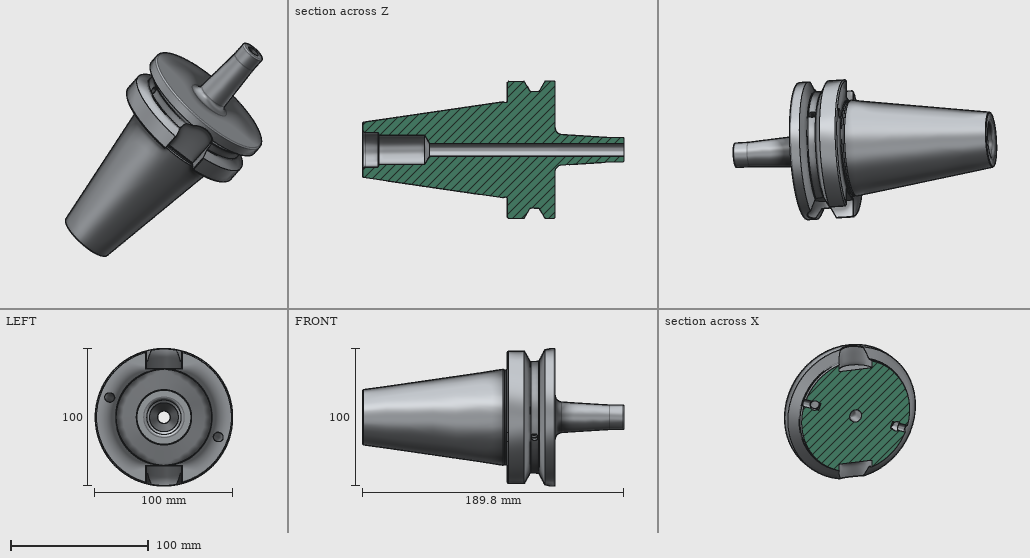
import cadquery as cq
import math


gauge_radius = 69.85 / 2
taper_length = 101.8
radius_slope = 7 / 48
shank_end_radius = gauge_radius - taper_length * radius_slope
shank_end_chamfer = 0.5

neck_radius = 34.5
relief_end_x = 1.2
neck_fillet = 0.7

flange_radius = 50.0
flange_start_x = 3.0
flange_end_x = 38.0
flange_start_chamfer = 1.0
flange_end_fillet = 1.0

groove_center_x = 23.0
groove_depth = 7.5
groove_opening = 15.0
groove_flank_angle = 30.0
groove_fillet = 0.8
groove_bottom_radius = flange_radius - groove_depth
groove_half_bottom = groove_opening / 2 - groove_depth * math.tan(math.radians(groove_flank_angle))

nose_end_x = 88.0
nose_tip_radius = 9.0
nose_tip_length = 10.5
nose_tip_fillet = 1.0
nose_foot_fillet = 5.0
nose_root_radius = 11.5

keyway_width = 25.7
keyway_floor_height = 35.4
keyway_end_x = 34.0
keyway_chamfer = 0.5

socket_radius = 12.5
socket_depth = 11.0
socket_fillet = 2.2
thread_minor_radius = 10.5
thread_lead_length = 1.0
thread_bore_depth = 45.0
drill_point_angle = 118.0
bore_radius = 4.5

coolant_angle = 20.0
coolant_face_radius = 42.0
coolant_hole_diameter = 6.7
coolant_tilt = 22.0
coolant_hole_length = 28.0
groove_hole_diameter = 5.0
groove_hole_floor_radius = 30.0

shank_end_x = -taper_length

match_tolerance = 0.01


def turned_body():
    """Revolve the shank, flange and nose outline with sharp corners."""
    return (
        cq.Workplane("XY")
        .moveTo(shank_end_x, 0)
        .lineTo(shank_end_x, shank_end_radius)
        .lineTo(0, gauge_radius)
        .lineTo(relief_end_x, neck_radius)
        .lineTo(flange_start_x, neck_radius)
        .lineTo(flange_start_x, flange_radius)
        .lineTo(groove_center_x - groove_opening / 2, flange_radius)
        .lineTo(groove_center_x - groove_half_bottom, groove_bottom_radius)
        .lineTo(groove_center_x + groove_half_bottom, groove_bottom_radius)
        .lineTo(groove_center_x + groove_opening / 2, flange_radius)
        .lineTo(flange_end_x, flange_radius)
        .lineTo(flange_end_x, nose_root_radius)
        .lineTo(nose_end_x - nose_tip_length, nose_tip_radius)
        .lineTo(nose_end_x, nose_tip_radius)
        .lineTo(nose_end_x, 0)
        .close()
        .revolve(360, (0, 0, 0), (1, 0, 0))
    )


def pick_circle(body, x, radius):
    """Select the outermost circular edge at one axial position, no larger than the given radius."""
    reach = radius + match_tolerance
    slab = cq.selectors.BoxSelector(
        (x - match_tolerance, -reach, -reach),
        (x + match_tolerance, reach, reach),
        boundingbox=True,
    )
    outermost = cq.selectors.RadiusNthSelector(-1)
    return body.edges("%CIRCLE").edges(slab).edges(outermost)


def finish_edges(body):
    """Fillet and chamfer the turned edges."""
    body = pick_circle(body, shank_end_x, shank_end_radius).chamfer(shank_end_chamfer)
    body = pick_circle(body, flange_start_x, neck_radius).fillet(neck_fillet)
    body = pick_circle(body, flange_start_x, flange_radius).chamfer(flange_start_chamfer)
    body = pick_circle(body, flange_end_x, flange_radius).fillet(flange_end_fillet)
    for side in (-1, 1):
        corner_x = groove_center_x + side * groove_half_bottom
        body = pick_circle(body, corner_x, groove_bottom_radius).fillet(groove_fillet)
    body = pick_circle(body, flange_end_x, nose_root_radius).fillet(nose_foot_fillet)
    return pick_circle(body, nose_end_x, nose_tip_radius).fillet(nose_tip_fillet)


def axial_bore():
    """Revolve the socket, thread core, drill point and through bore."""
    thread_start_x = shank_end_x + socket_depth
    thread_end_x = shank_end_x + thread_bore_depth
    point_length = (thread_minor_radius - bore_radius) / math.tan(math.radians(drill_point_angle / 2))
    fillet_diagonal = socket_fillet * (1 - math.sqrt(0.5))
    return (
        cq.Workplane("XY")
        .moveTo(shank_end_x, 0)
        .lineTo(shank_end_x, socket_radius + socket_fillet)
        .threePointArc(
            (shank_end_x + fillet_diagonal, socket_radius + fillet_diagonal),
            (shank_end_x + socket_fillet, socket_radius),
        )
        .lineTo(thread_start_x, socket_radius)
        .lineTo(thread_start_x + thread_lead_length, thread_minor_radius)
        .lineTo(thread_end_x, thread_minor_radius)
        .lineTo(thread_end_x + point_length, bore_radius)
        .lineTo(nose_end_x, bore_radius)
        .lineTo(nose_end_x, 0)
        .close()
        .revolve(360, (0, 0, 0), (1, 0, 0))
    )


def keyway():
    """Round-ended keyway cutter above the +Z side of the flange."""
    end_center_x = keyway_end_x - keyway_width / 2
    slot_length = end_center_x - flange_start_x
    height = flange_radius - keyway_floor_height
    floor = cq.Workplane("XY", origin=(0, 0, keyway_floor_height))
    slot = floor.center(flange_start_x + slot_length / 2, 0).rect(slot_length, keyway_width).extrude(height)
    rounded_end = floor.center(end_center_x, 0).circle(keyway_width / 2).extrude(height)
    return slot.union(rounded_end)


def coolant_holes():
    """Slanted hole from the flange face and the groove hole meeting it, on the +Y side."""
    tilt = math.radians(coolant_tilt)
    inward = cq.Vector(math.cos(tilt), -math.sin(tilt), 0)
    entry = cq.Vector(flange_start_x, coolant_face_radius, 0)
    lead_in = coolant_hole_diameter * math.tan(tilt)
    slanted = cq.Solid.makeCylinder(
        coolant_hole_diameter / 2,
        coolant_hole_length + lead_in,
        entry - inward * lead_in,
        inward,
    )
    radial = cq.Solid.makeCylinder(
        groove_hole_diameter / 2,
        flange_radius - groove_hole_floor_radius,
        cq.Vector(groove_center_x, groove_hole_floor_radius, 0),
        cq.Vector(0, 1, 0),
    )
    pair = cq.Workplane(slanted).union(cq.Workplane(radial))
    return pair.rotate((0, 0, 0), (1, 0, 0), coolant_angle)


def chamfer_keyways(body):
    """Chamfer the keyway outlines where they meet the flange face and the flange rim."""
    half_width = keyway_width / 2
    end_center_x = keyway_end_x - half_width

    def on_outline(point):
        past_center = max(point.x - end_center_x, 0)
        return abs(math.hypot(past_center, point.y) - half_width) < match_tolerance

    def is_outer_edge(edge):
        middle = edge.positionAt(0.5)
        on_face = abs(middle.x - flange_start_x) < match_tolerance
        above_floor = abs(middle.z) > keyway_floor_height - match_tolerance
        beyond_groove = math.hypot(middle.y, middle.z) > flange_radius - flange_start_chamfer
        on_floor_front = on_face and abs(middle.y) < match_tolerance
        on_wall = on_outline(middle) and (on_face or beyond_groove)
        return above_floor and (on_floor_front or on_wall)

    outer_edges = [edge for edge in body.edges().vals() if is_outer_edge(edge)]
    return body.newObject(outer_edges).chamfer(keyway_chamfer)


def cut_on_both_sides(body, cutter):
    """Cut a feature and its copy turned half way round the X axis."""
    opposite = cutter.rotate((0, 0, 0), (1, 0, 0), 180)
    return body.cut(cutter).cut(opposite)


result = finish_edges(turned_body()).cut(axial_bore())
result = cut_on_both_sides(result, keyway())
result = chamfer_keyways(result)
result = cut_on_both_sides(result, coolant_holes())